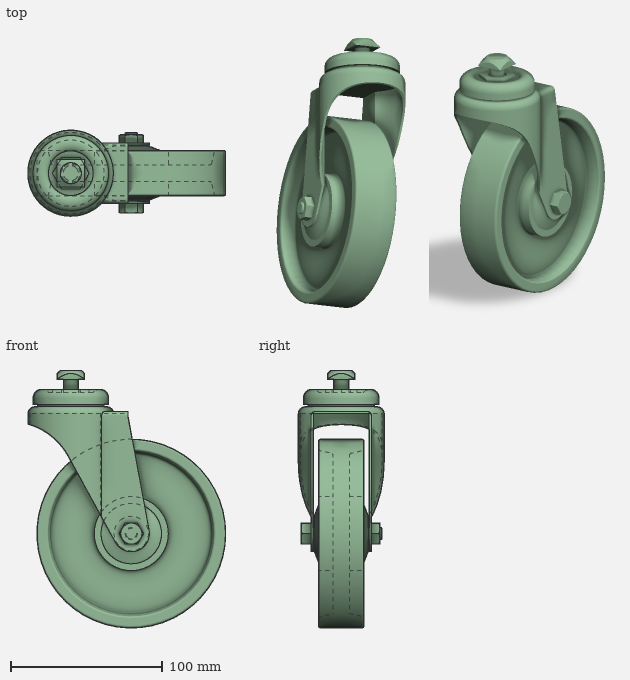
import cadquery as cq
import math


wheel_radius = 62.5
wheel_width = 30.0
tread_round = 1.5
rim_inner_radius = 54.8
web_radius = 53.3
rim_round = 1.5
web_thickness = 11.0
hub_radius = 24.5
hub_base_round = 1.0
hub_cone_radius = 20.0
hub_end_radius = 11.4
hub_length = 36.0
hub_shoulder_length = 29.4

axle_offset = 40.0
axle_height = wheel_radius

bolt_diameter = 8.0
bolt_tip_chamfer = 0.5
bolt_tip_y = 27.0
hex_flats = 14.0
bolt_head_height = 6.5
nut_height = 5.5
hex_chamfer_angle = 30.0

sheet = 1.5
fork_width = 40.0
crown_radius = 28.5
crown_top = 146.5
crown_round = 5.0
bridge_top = 143.3
bridge_end = 37.9
bridge_round = 3.0
bridge_edge_height = 3.3
leg_end_radius = 12.0
leg_front_angle = 61.3
leg_straight_length = 65.0
crown_skirt_bottom = 135.0

neck_radius = 22.0
neck_height = 1.5
cup_radius = 25.0
cup_height = 10.0
cup_round = 5.8
cup_recess_radius = 14.8

swivel_nut_flats = 21.0
swivel_nut_bore = 12.5
stem_diameter = 10.0
stem_top = 170.5
stem_head_side = 18.0
stem_head_height = 6.0
stem_head_top_radius = 7.0


def hexagon_corner_diameter(flats):
    return flats / math.cos(math.pi / 6)


def make_rim_recess():
    """Recess on the +Y side of the wheel, between the rim and the web."""
    face = wheel_width / 2
    floor = web_thickness / 2
    return (
        cq.Workplane("XY")
        .moveTo(0, face)
        .lineTo(rim_inner_radius + rim_round, face)
        .radiusArc((rim_inner_radius, face - rim_round), -rim_round)
        .lineTo(web_radius, floor + rim_round)
        .radiusArc((web_radius - rim_round, floor), rim_round)
        .lineTo(0, floor)
        .close()
        .revolve(360, (0, 0, 0), (0, 1, 0))
    )


def make_hub():
    """Hub on the +Y side of the wheel, rounded into the web and tapered toward the fork."""
    floor = web_thickness / 2
    shoulder = hub_shoulder_length / 2
    end = hub_length / 2
    return (
        cq.Workplane("XY")
        .moveTo(0, floor)
        .lineTo(hub_radius + hub_base_round, floor)
        .radiusArc((hub_radius, floor + hub_base_round), hub_base_round)
        .lineTo(hub_radius, shoulder)
        .lineTo(hub_cone_radius, shoulder)
        .lineTo(hub_end_radius, end)
        .lineTo(0, end)
        .close()
        .revolve(360, (0, 0, 0), (0, 1, 0))
    )


def make_wheel():
    wheel = (
        cq.Workplane("XZ")
        .circle(wheel_radius)
        .extrude(wheel_width / 2, both=True)
        .edges()
        .fillet(tread_round)
    )
    recess = make_rim_recess()
    hub = make_hub()
    wheel = wheel.cut(recess).cut(recess.mirror("XZ"))
    wheel = wheel.union(hub).union(hub.mirror("XZ"))
    return wheel.translate((axle_offset, 0, axle_height))


def make_fork_profile():
    """Side profile of the fork, extruded across the full width of the crown."""
    front_angle = math.radians(leg_front_angle)
    front_x = -math.cos(front_angle)
    front_z = math.sin(front_angle)

    front_tangent = (
        axle_offset - leg_end_radius * front_z,
        axle_height + leg_end_radius * front_x,
    )
    curve_start = (
        front_tangent[0] + leg_straight_length * front_x,
        front_tangent[1] + leg_straight_length * front_z,
    )

    rear_corner = (bridge_end, bridge_top - bridge_edge_height)
    corner_dx = rear_corner[0] - axle_offset
    corner_dz = rear_corner[1] - axle_height
    corner_distance = math.hypot(corner_dx, corner_dz)
    rear_angle = math.atan2(corner_dz, corner_dx) - math.acos(leg_end_radius / corner_distance)
    rear_tangent = (
        axle_offset + leg_end_radius * math.cos(rear_angle),
        axle_height + leg_end_radius * math.sin(rear_angle),
    )

    outline = (
        cq.Workplane("XZ")
        .moveTo(-crown_radius, crown_top)
        .lineTo(bridge_end, crown_top)
        .lineTo(*rear_corner)
        .lineTo(*rear_tangent)
        .threePointArc((axle_offset, axle_height - leg_end_radius), front_tangent)
        .lineTo(*curve_start)
        .tangentArcPoint((-crown_radius, crown_skirt_bottom), relative=False)
        .close()
    )
    return outline.extrude(crown_radius, both=True)


def make_crown_and_legs(radius, width, crown_height, bridge_height):
    """A cylinder about the swivel axis and a block reaching back past the axle, as two solids."""
    cylinder = cq.Workplane("XY").circle(radius).extrude(crown_height)
    block_length = axle_offset + leg_end_radius
    block = cq.Workplane("XY").box(block_length, width, bridge_height, centered=(False, True, False))
    return cylinder, block


def make_fork():
    cylinder, block = make_crown_and_legs(crown_radius, fork_width, crown_top, bridge_top)
    cylinder = cylinder.faces(">Z").edges().fillet(crown_round)
    block = block.faces(">Z").edges("|X").fillet(bridge_round)

    ceiling = bridge_top - sheet
    inner_cylinder, inner_block = make_crown_and_legs(
        crown_radius - sheet, fork_width - 2 * sheet, ceiling, ceiling
    )
    outside = cylinder.union(block).intersect(make_fork_profile())
    return outside.cut(inner_cylinder.union(inner_block))


def make_swivel_head():
    cup_bottom = crown_top + neck_height
    cup_top = cup_bottom + cup_height
    round_centre_radius = cup_radius - cup_round
    round_centre_z = cup_top - cup_round
    recess_drop = round_centre_radius - cup_recess_radius
    recess_floor = round_centre_z + math.sqrt(cup_round**2 - recess_drop**2)

    cup = (
        cq.Workplane("XZ")
        .moveTo(0, crown_top)
        .lineTo(neck_radius, crown_top)
        .lineTo(neck_radius, cup_bottom)
        .lineTo(cup_radius, cup_bottom)
        .lineTo(cup_radius, round_centre_z)
        .radiusArc((round_centre_radius, cup_top), -cup_round)
        .radiusArc((cup_recess_radius, recess_floor), -cup_round)
        .lineTo(0, recess_floor)
        .close()
        .revolve(360, (0, 0, 0), (0, 1, 0))
    )
    nut = (
        cq.Workplane("XY", origin=(0, 0, recess_floor))
        .polygon(6, hexagon_corner_diameter(swivel_nut_flats))
        .circle(swivel_nut_bore / 2)
        .extrude(cup_top - recess_floor)
    )
    return cup.union(nut)


def make_stem():
    head_bottom = stem_top - stem_head_height
    shank = (
        cq.Workplane("XY", origin=(0, 0, crown_top))
        .circle(stem_diameter / 2)
        .extrude(head_bottom - crown_top)
    )
    head = (
        cq.Workplane("XY", origin=(0, 0, head_bottom))
        .rect(stem_head_side, stem_head_side)
        .extrude(stem_head_height)
    )
    cone = cq.Workplane("XY").add(
        cq.Solid.makeCone(
            stem_head_top_radius + stem_head_height,
            stem_head_top_radius,
            stem_head_height,
            cq.Vector(0, 0, head_bottom),
        )
    )
    return shank.union(head.intersect(cone))


def make_bolt_hexagon(height):
    """Hexagon standing on the XZ plane toward -Y, its outer corners bevelled by a cone."""
    hexagon = cq.Workplane("XZ").polygon(6, hexagon_corner_diameter(hex_flats)).extrude(height)
    flare = height / math.tan(math.radians(hex_chamfer_angle))
    cone = cq.Solid.makeCone(
        hex_flats / 2 + flare,
        hex_flats / 2,
        height,
        cq.Vector(0, 0, 0),
        cq.Vector(0, -1, 0),
    )
    return hexagon.intersect(cq.Workplane("XY").add(cone))


def make_axle_bolt():
    half_fork = fork_width / 2
    head = make_bolt_hexagon(bolt_head_height).translate((axle_offset, -half_fork, axle_height))
    nut = make_bolt_hexagon(nut_height).mirror("XZ").translate((axle_offset, half_fork, axle_height))
    shank = (
        cq.Workplane("XZ", origin=(axle_offset, bolt_tip_y, axle_height))
        .circle(bolt_diameter / 2)
        .extrude(bolt_tip_y + half_fork)
        .faces(">Y")
        .chamfer(bolt_tip_chamfer)
    )
    return head.union(nut).union(shank)


result = (
    make_fork()
    .union(make_swivel_head())
    .union(make_stem())
    .union(make_wheel())
    .union(make_axle_bolt())
)